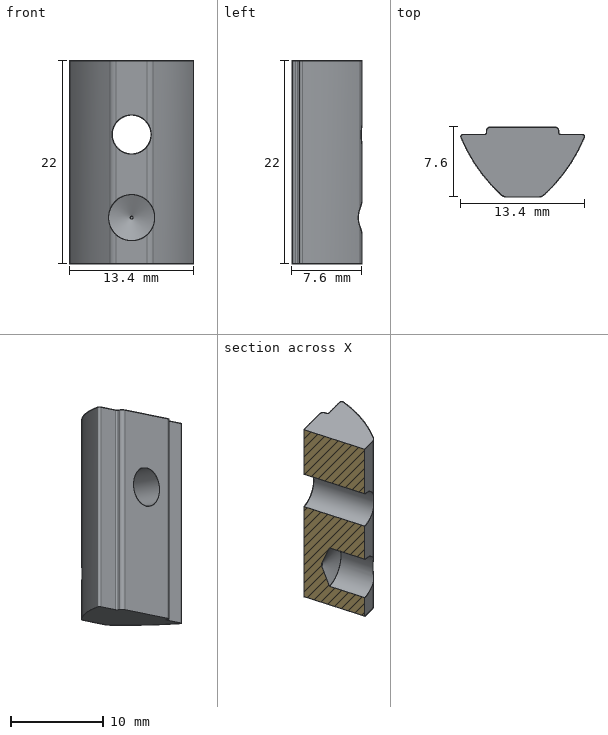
import cadquery as cq
import math

length = 22.0
depth = 7.6
tongue_width = 7.83
tongue_height = 0.8
shoulder_y = depth - tongue_height

nose_half_width = 2.05
wing_half_width = 6.82
flank_radius = 17.6

nose_fillet = 1.0
wing_fillet = 0.25
tongue_fillet = 0.4
root_fillet = 0.2

through_diameter = 4.2
through_z = 14.0
blind_diameter = 5.0
blind_z = 5.0
blind_depth = 4.4
drill_point_angle = 135.0
drill_tip_diameter = 0.3


def flank_middle():
    """Point halfway along the right flank, bulging away from the body."""
    run = wing_half_width - nose_half_width
    chord = math.hypot(run, shoulder_y)
    bulge = flank_radius - math.sqrt(flank_radius**2 - (chord / 2)**2)
    x = nose_half_width + run / 2 + bulge * shoulder_y / chord
    y = shoulder_y / 2 - bulge * run / chord
    return x, y


def round_edges(body, half_width, y, radius):
    """Fillet the mirrored pair of lengthwise edges at the given corner."""
    edges = body.edges("|Z")
    return edges.filter(
        lambda e: math.hypot(abs(e.Center().x) - half_width, e.Center().y - y) < 0.002
    ).fillet(radius)


def make_body():
    """Extrude the sharp profile, then round its lengthwise edges."""
    tongue_half = tongue_width / 2
    mid_x, mid_y = flank_middle()
    body = (
        cq.Workplane("XY")
        .moveTo(-nose_half_width, 0)
        .lineTo(nose_half_width, 0)
        .threePointArc((mid_x, mid_y), (wing_half_width, shoulder_y))
        .lineTo(tongue_half, shoulder_y)
        .lineTo(tongue_half, depth)
        .lineTo(-tongue_half, depth)
        .lineTo(-tongue_half, shoulder_y)
        .lineTo(-wing_half_width, shoulder_y)
        .threePointArc((-mid_x, mid_y), (-nose_half_width, 0))
        .close()
        .extrude(length)
    )
    body = round_edges(body, nose_half_width, 0, nose_fillet)
    body = round_edges(body, wing_half_width, shoulder_y, wing_fillet)
    body = round_edges(body, tongue_half, depth, tongue_fillet)
    return round_edges(body, tongue_half, shoulder_y, root_fillet)


def through_hole():
    """Cylinder that crosses the full depth of the body."""
    return cq.Workplane("XZ").center(0, through_z).circle(through_diameter / 2).extrude(-depth)


def blind_hole():
    """Drilled hole with a conical floor ending in a small flat tip."""
    radius = blind_diameter / 2
    tip_radius = drill_tip_diameter / 2
    cone_depth = (radius - tip_radius) / math.tan(math.radians(drill_point_angle / 2))
    return (
        cq.Workplane("XY")
        .moveTo(0, 0)
        .lineTo(radius, 0)
        .lineTo(radius, blind_depth)
        .lineTo(tip_radius, blind_depth + cone_depth)
        .lineTo(0, blind_depth + cone_depth)
        .close()
        .revolve(360, (0, 0), (0, 1))
        .translate((0, 0, blind_z))
    )


result = make_body().cut(through_hole()).cut(blind_hole())